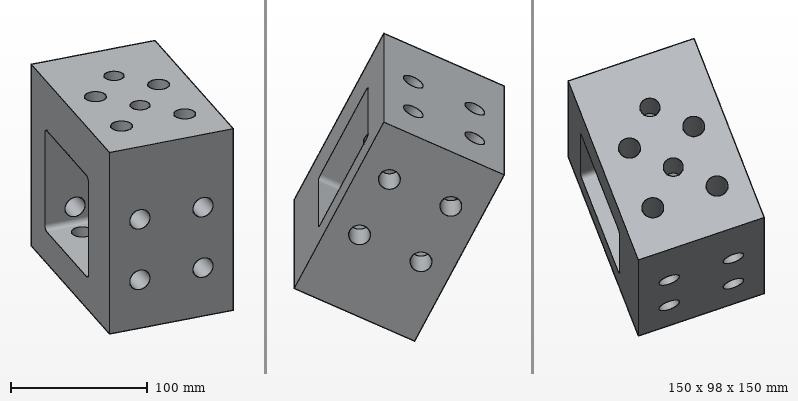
import cadquery as cq
import math

width = 150.0
depth = 98.0
height = 150.0

window_size = 83.5
window_offset = 26.1
window_corner_radius = 4.0
window_top = window_offset + window_size

hole_pitch = 50.0
wall_hole_start = 40.0
top_hole_start = wall_hole_start + hole_pitch / 2
hole_row_start = (depth - hole_pitch) / 2

plain_diameter = 15.9
top_hole_depth = height - window_top

drill_diameter = 14.5
drill_depth = 30.0
drill_point_angle = 118.0


def pair(start):
    """Two positions one pitch apart."""
    return (start, start + hole_pitch)


def square_pattern(first_start, second_start):
    """Four positions at the corners of a square one pitch wide."""
    return [(first, second) for first in pair(first_start) for second in pair(second_start)]


def window():
    """Square bar with rounded edges that fills the window."""
    centre = window_offset + window_size / 2
    bar = cq.Workplane("XY").box(window_size, depth, window_size)
    return bar.edges("|Y").fillet(window_corner_radius).translate((centre, depth / 2, centre))


def plain_holes(workplane, positions, length):
    """Round bars of the plain hole size, from the workplane along its normal."""
    return workplane.pushPoints(positions).circle(plain_diameter / 2).extrude(length)


def drilled_hole(x):
    """Blind hole with a conical end, open at the top face."""
    radius = drill_diameter / 2
    point_length = radius / math.tan(math.radians(drill_point_angle / 2))
    return (
        cq.Workplane("XZ", origin=(x, depth / 2, height))
        .polyline([(0, 0), (radius, 0), (radius, -drill_depth), (0, -drill_depth - point_length)])
        .close()
        .revolve(360, (0, 0), (0, 1))
    )


block = cq.Workplane("XY").box(width, depth, height, centered=False)

side_holes = plain_holes(cq.Workplane("YZ"), square_pattern(hole_row_start, wall_hole_start), width)

floor_holes = plain_holes(
    cq.Workplane("XY"), square_pattern(wall_hole_start, hole_row_start), window_offset
)

top_holes = plain_holes(
    cq.Workplane("XY", origin=(0, 0, height)),
    square_pattern(top_hole_start, hole_row_start),
    -top_hole_depth,
)

result = block.cut(window()).cut(side_holes).cut(floor_holes).cut(top_holes)
for x in pair(wall_hole_start):
    result = result.cut(drilled_hole(x))